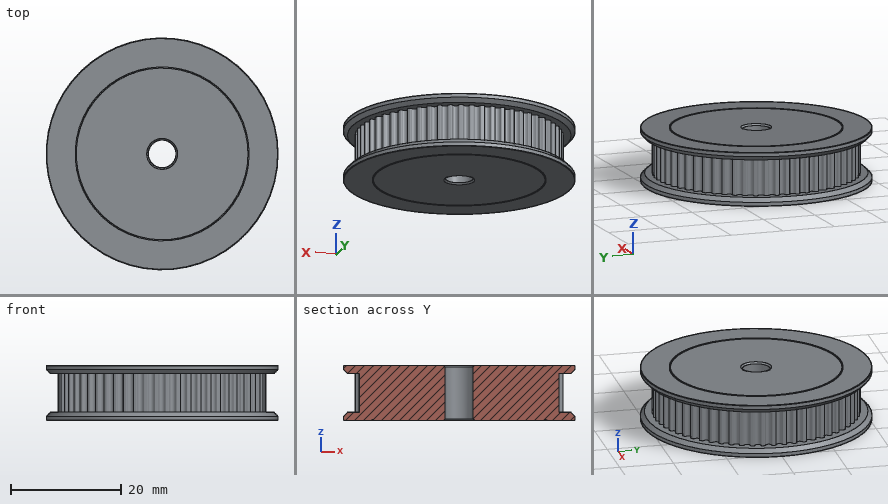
import cadquery as cq
import math

flange_diameter = 42.0
total_height = 10.0

flange_thickness = 1.5
flange_inner_chamfer = 0.75
flange_outer_chamfer = 0.1

ring_groove_outer_diameter = 31.5
ring_groove_width = 0.2
ring_groove_depth = 0.1

bore_diameter = 5.0
bore_chamfer = 0.302

tooth_count = 60
tooth_tip_diameter = 37.7
tooth_depth = 0.75
groove_bottom_radius = 0.55
flank_radius = 1.0
flank_center_offset = 0.405
tooth_tip_fillet = 0.15

tip_radius = tooth_tip_diameter / 2
track_height = total_height - 2 * flange_thickness


def groove_points():
    """Right half of one belt groove centred on +X, as (radial, sideways) points from bottom to tip.

    A circular bottom runs tangentially into a larger flank arc whose centre lies across the groove.
    """
    bottom_center = tip_radius - tooth_depth + groove_bottom_radius
    center_distance = flank_radius - groove_bottom_radius
    flank_center = bottom_center + math.sqrt(center_distance**2 - flank_center_offset**2)

    join_angle = math.acos(flank_center_offset / center_distance)

    center_reach = math.hypot(flank_center, flank_center_offset)
    center_angle = math.atan2(-flank_center_offset, flank_center)
    spread = math.acos(
        (tip_radius**2 + center_reach**2 - flank_radius**2) / (2 * tip_radius * center_reach)
    )
    tip_angle = center_angle + spread
    tip = (tip_radius * math.cos(tip_angle), tip_radius * math.sin(tip_angle))

    end_slope = math.asin((flank_center - tip[0]) / flank_radius)
    middle_slope = (join_angle + end_slope) / 2

    def on_flank(slope):
        return (
            flank_center - flank_radius * math.sin(slope),
            flank_radius * math.cos(slope) - flank_center_offset,
        )

    bottom = (tip_radius - tooth_depth, 0.0)
    return bottom, on_flank(join_angle), on_flank(middle_slope), tip


def turned(point, angle):
    """Rotate a point about the pulley axis."""
    x, y = point
    return (
        x * math.cos(angle) - y * math.sin(angle),
        x * math.sin(angle) + y * math.cos(angle),
    )


def mirrored(point):
    return (point[0], -point[1])


def make_toothed_track():
    bottom, join, flank_middle, tip = groove_points()
    pitch_angle = 2 * math.pi / tooth_count
    outline = cq.Workplane("XY").workplane(offset=flange_thickness).moveTo(*mirrored(tip))
    for tooth in range(tooth_count):
        angle = tooth * pitch_angle
        next_groove = angle + pitch_angle
        outline = (
            outline.threePointArc(turned(mirrored(flank_middle), angle), turned(mirrored(join), angle))
            .threePointArc(turned(bottom, angle), turned(join, angle))
            .threePointArc(turned(flank_middle, angle), turned(tip, angle))
            .threePointArc(
                turned((tip_radius, 0.0), angle + pitch_angle / 2),
                turned(mirrored(tip), next_groove),
            )
        )
    track = outline.close().extrude(track_height)

    def is_tip_edge(edge):
        center = edge.Center()
        return math.hypot(center.x, center.y) > tip_radius - tooth_tip_fillet

    return track.edges("|Z").filter(is_tip_edge).fillet(tooth_tip_fillet)


def make_bottom_flange():
    flange = cq.Workplane("XY").circle(flange_diameter / 2).extrude(flange_thickness)
    flange = flange.faces(">Z").edges().chamfer(flange_inner_chamfer)
    flange = flange.faces("<Z").edges().chamfer(flange_outer_chamfer)
    ring_groove = (
        cq.Workplane("XY")
        .circle(ring_groove_outer_diameter / 2)
        .circle(ring_groove_outer_diameter / 2 - ring_groove_width)
        .extrude(ring_groove_depth)
    )
    return flange.cut(ring_groove)


def cut_bore(body):
    bored = body.faces(">Z").workplane(origin=(0, 0, total_height)).hole(bore_diameter)
    bore_rims = cq.selectors.RadiusNthSelector(0)
    return bored.faces(">Z or <Z").edges(bore_rims).chamfer(bore_chamfer)


bottom_flange = make_bottom_flange()
top_flange = bottom_flange.mirror("XY").translate((0, 0, total_height))
result = cut_bore(make_toothed_track().union(bottom_flange).union(top_flange))